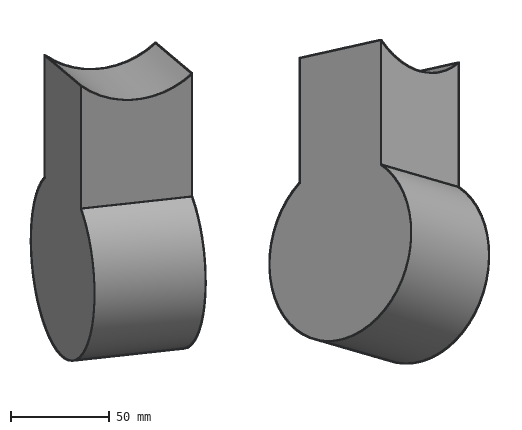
import cadquery as cq
import math

total_height = 152.7
thickness = 60.0
disc_radius = 48.0
stem_width = 55.0
saddle_radius = 48.0

stem_top = total_height - disc_radius
saddle_axis_height = stem_top + math.sqrt(saddle_radius**2 - (thickness / 2) ** 2)


def make_disc():
    """Round base with its axis along Y."""
    return cq.Workplane("XZ").circle(disc_radius).extrude(thickness / 2, both=True)


def make_stem():
    """Rectangular stem from the disc centre up to the saddle edges."""
    return cq.Workplane("XY").rect(stem_width, thickness).extrude(stem_top)


def make_saddle_cutter():
    """Cylinder along X that hollows the top of the stem."""
    return (
        cq.Workplane("YZ")
        .center(0, saddle_axis_height)
        .circle(saddle_radius)
        .extrude(stem_width, both=True)
    )


result = make_disc().union(make_stem()).cut(make_saddle_cutter())